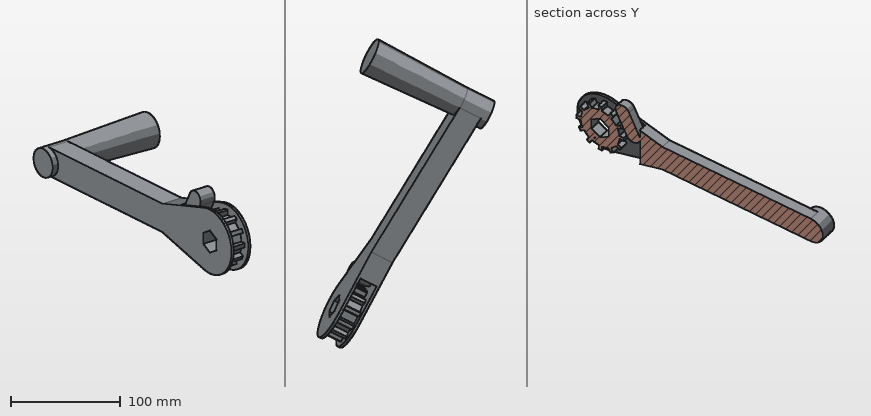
import cadquery as cq
import math


overall_length = 285.75
arm_width = 22.225
arm_height = 28.25
head_radius = 31.75
overall_height = 72.7
flare_angle = math.radians(15)

hub_diameter = arm_height
hub_length = 28.575
grip_end_diameter = 34.7
overall_depth = 122.24
grip_length = overall_depth - hub_length

cheek_thickness = 2.75
pocket_width = arm_width - 2 * cheek_thickness
pocket_wall_x = -44.6

tooth_count = 12
tooth_tip_radius = 26.85
tooth_root_radius = 22.0
tooth_width = 4.1
hex_sides = 6
hex_across_flats = 19.05

pawl_radius = 8.2
pawl_tip_x = -25.3
pawl_tip_z = overall_height - head_radius - pawl_radius
pawl_lean = math.radians(27)
pawl_root_z = 10.0

handle_x = -(overall_length - head_radius - grip_end_diameter / 2)
arm_back_y = arm_width / 2
hub_front_y = arm_back_y - hub_length


def xz_plane(y):
    """Sketch plane at the given Y, with local axes X and Z and normal -Y."""
    return cq.Workplane("XZ", origin=(0, y, 0))


def make_arm():
    """Straight arm that flares tangentially into the round head."""
    tangent_x = -head_radius * math.sin(flare_angle)
    tangent_z = head_radius * math.cos(flare_angle)
    half_height = arm_height / 2
    flare_x = tangent_x - (tangent_z - half_height) / math.tan(flare_angle)
    return (
        xz_plane(arm_back_y)
        .moveTo(handle_x, -half_height)
        .lineTo(flare_x, -half_height)
        .lineTo(tangent_x, -tangent_z)
        .threePointArc((head_radius, 0), (tangent_x, tangent_z))
        .lineTo(flare_x, half_height)
        .lineTo(handle_x, half_height)
        .close()
        .extrude(arm_width)
    )


def make_pocket():
    """Slot through the head between the cheeks, open at +X, +Z and -Z."""
    pocket_length = head_radius - pocket_wall_x
    return (
        cq.Workplane("XY")
        .box(pocket_length, pocket_width, 2 * head_radius, centered=(False, True, True))
        .translate((pocket_wall_x, 0, 0))
    )


def make_handle():
    """Cylindrical hub in line with a grip that widens toward its free end."""
    grip_end_y = arm_back_y + grip_length
    return (
        cq.Workplane("YZ")
        .moveTo(hub_front_y, 0)
        .lineTo(hub_front_y, hub_diameter / 2)
        .lineTo(arm_back_y, hub_diameter / 2)
        .lineTo(grip_end_y, grip_end_diameter / 2)
        .lineTo(grip_end_y, 0)
        .close()
        .revolve(360, (0, 0, 0), (1, 0, 0))
        .translate((handle_x, 0, 0))
    )


def make_gear():
    """Ratchet gear with straight-sided teeth and rounded tips."""
    gear_back_y = pocket_width / 2
    gear = xz_plane(gear_back_y).circle(tooth_root_radius).extrude(pocket_width)
    tooth_bar = (
        cq.Workplane("XY")
        .box(tooth_width, pocket_width, tooth_tip_radius, centered=(True, True, False))
    )
    for index in range(tooth_count):
        angle = index * 360 / tooth_count
        gear = gear.union(tooth_bar.rotate((0, 0, 0), (0, 1, 0), angle))
    tip_cylinder = xz_plane(gear_back_y).circle(tooth_tip_radius).extrude(pocket_width)
    return gear.intersect(tip_cylinder)


def make_pawl():
    """Pawl filling the pocket width, from its thumb tip down to the pocket wall."""
    axis_length = (pawl_tip_z - pawl_root_z) / math.cos(pawl_lean)
    return (
        cq.Workplane("XY")
        .slot2D(axis_length + 2 * pawl_radius, 2 * pawl_radius, 90)
        .extrude(pocket_width / 2, both=True)
        .rotate((0, 0, 0), (1, 0, 0), 90)
        .translate((0, 0, -axis_length / 2))
        .rotate((0, 0, 0), (0, 1, 0), math.degrees(pawl_lean))
        .translate((pawl_tip_x, 0, pawl_tip_z))
    )


def make_hex_bore():
    """Hexagonal bore through the head, with two corners on the Z axis."""
    across_corners = hex_across_flats / math.cos(math.pi / hex_sides)
    return (
        xz_plane(arm_back_y)
        .transformed(rotate=(0, 0, 90))
        .polygon(hex_sides, across_corners)
        .extrude(arm_width)
    )


result = (
    make_arm()
    .cut(make_pocket())
    .union(make_handle())
    .union(make_gear())
    .union(make_pawl())
    .cut(make_hex_bore())
)